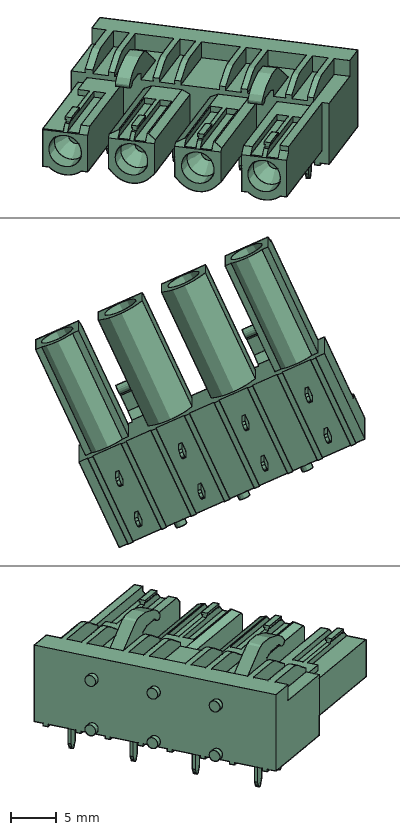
import cadquery as cq
import math


CONTACTS = 4
PITCH = 7.62
CONTACT_X = [(i - (CONTACTS - 1) / 2) * PITCH for i in range(CONTACTS)]
GAP_X = [(i - (CONTACTS - 2) / 2) * PITCH for i in range(CONTACTS - 1)]

WIDTH = 29.65
DEPTH = 10.68
HEIGHT = 9.22
DECK_Z = 7.33
BACK_WALL_Y = 7.65

RIB_INNER = 0.9
RIB_THICKNESS = 0.7
FIRST_RIB_THICKNESS = 0.9
RIB_BEND_START_Y = 3.4
RIB_BEND_END_Y = 1.95
RIB_BEND_END_Z = 8.9
RIB_FRONT_Z = 7.77

LATCH_WIDTH = 1.63
LATCH_TOP_Z = 10.23
LATCH_GRIP_Z = 8.45

STUD_RADIUS = 0.65
STUD_LENGTH = 0.65
STUD_ROWS_Z = [STUD_RADIUS, 6.6]
RAIL_WIDTH = 0.62
RAIL_HEIGHT = 0.3
RAIL_OFFSET = 2.02

BARREL_LENGTH = 13.2
BARREL_TOP_Z = 6.75
BORE_Z = 3.77
BARREL_RADIUS = 2.88
INNER_BARREL_WIDTH = 5.3
INNER_TOP_WIDTH = 3.47
INNER_SHOULDER_Z = 6.32
END_BARREL_WIDTH = 5.2
END_BARREL_BOTTOM_Z = 1.57
NOSE_CHAMFER = 0.77

BORE_RADIUS = 1.87
BORE_END_RADIUS = 0.9
BORE_STRAIGHT = 2.08
BORE_TAPER = 2.08

POCKET_FLOOR_Z = 6.08
POCKET_START = 3.35
POCKET_HALF_WIDTH = 1.57
KEY_RIB_WIDTH = 0.5
KEY_HEAD_WIDTH = 0.75
KEY_HEAD_Z = 7.0
KEY_HEAD_START = 9.15
KEY_HEAD_END = 12.05

PIN_THICKNESS = 0.4
PIN_WIDTH = 1.07
PIN_LENGTH = 3.5
PIN_TAPER_LENGTH = 0.77
PIN_TIP_WIDTH = 0.6
PIN_ROWS_Y = [3.23, 8.28]


def block(x0, x1, y0, y1, z0, z1):
    """Box between two opposite corners."""
    return cq.Workplane("XY").box(x1 - x0, y1 - y0, z1 - z0, centered=False).translate((x0, y0, z0))


def along_x(profile, x_start, thickness):
    """Extrude a YZ profile in +X from x_start."""
    return profile.extrude(thickness).translate((x_start, 0, 0))


def housing_block():
    half = WIDTH / 2
    base = block(-half, half, 0, DEPTH, 0, DECK_Z)
    back_wall = block(-half, half, BACK_WALL_Y, DEPTH, DECK_Z, HEIGHT)
    return base.union(back_wall)


def deck_rib(x_start, thickness):
    profile = (
        cq.Workplane("YZ")
        .moveTo(0, DECK_Z)
        .lineTo(BACK_WALL_Y, DECK_Z)
        .lineTo(BACK_WALL_Y, HEIGHT)
        .lineTo(RIB_BEND_START_Y, HEIGHT)
        .tangentArcPoint((RIB_BEND_END_Y, RIB_BEND_END_Z), relative=False)
        .lineTo(0, RIB_FRONT_Z)
        .close()
    )
    return along_x(profile, x_start, thickness)


def latch(x_center):
    """Curved finger that rises from the deck and hooks down in front of the housing."""
    profile = (
        cq.Workplane("YZ")
        .moveTo(0, DECK_Z)
        .lineTo(5.45, DECK_Z)
        .lineTo(1.95, 9.88)
        .threePointArc((1.5, 10.1), (1.05, LATCH_TOP_Z))
        .lineTo(-0.53, LATCH_TOP_Z)
        .lineTo(-2.3, 9.8)
        .threePointArc((-3.1, 9.45), (-3.77, 9.02))
        .lineTo(-4.18, 8.57)
        .threePointArc((-4.2, 8.2), (-3.85, 8.0))
        .threePointArc((-3.45, 8.07), (-3.17, 8.3))
        .lineTo(-2.97, LATCH_GRIP_Z)
        .lineTo(-1.05, LATCH_GRIP_Z)
        .lineTo(0, 8.07)
        .close()
    )
    return along_x(profile, x_center - LATCH_WIDTH / 2, LATCH_WIDTH)


def back_stud(x, z):
    return cq.Workplane("XZ", origin=(x, DEPTH, z)).circle(STUD_RADIUS).extrude(-STUD_LENGTH)


def bottom_rail(x):
    return block(x - RAIL_WIDTH / 2, x + RAIL_WIDTH / 2, 0, DEPTH, -RAIL_HEIGHT, 0)


def inner_barrel(x):
    """Barrel with sloped top shoulders and 45 degree flanks tangent to its round underside."""
    half = INNER_BARREL_WIDTH / 2
    tangent = BARREL_RADIUS * math.sqrt(0.5)
    flank_z = BORE_Z - (2 * tangent - half)
    return (
        cq.Workplane("XZ", origin=(x, 0, 0))
        .moveTo(-half, flank_z)
        .lineTo(-half, INNER_SHOULDER_Z)
        .lineTo(-INNER_TOP_WIDTH / 2, BARREL_TOP_Z)
        .lineTo(INNER_TOP_WIDTH / 2, BARREL_TOP_Z)
        .lineTo(half, INNER_SHOULDER_Z)
        .lineTo(half, flank_z)
        .lineTo(tangent, BORE_Z - tangent)
        .threePointArc((0, BORE_Z - BARREL_RADIUS), (-tangent, BORE_Z - tangent))
        .close()
        .extrude(BARREL_LENGTH)
    )


def end_barrel(x):
    """Square barrel with a round belly below its flat bottom."""
    half = END_BARREL_WIDTH / 2
    belly_half = math.sqrt(BARREL_RADIUS**2 - (BORE_Z - END_BARREL_BOTTOM_Z) ** 2)
    return (
        cq.Workplane("XZ", origin=(x, 0, 0))
        .moveTo(-half, END_BARREL_BOTTOM_Z)
        .lineTo(-half, BARREL_TOP_Z)
        .lineTo(half, BARREL_TOP_Z)
        .lineTo(half, END_BARREL_BOTTOM_Z)
        .lineTo(belly_half, END_BARREL_BOTTOM_Z)
        .threePointArc((0, BORE_Z - BARREL_RADIUS), (-belly_half, END_BARREL_BOTTOM_Z))
        .close()
        .extrude(BARREL_LENGTH)
    )


def first_barrel(x):
    """End barrel whose outer top strip is lowered to the pocket floor."""
    outer_x = x - END_BARREL_WIDTH / 2
    strip = block(outer_x, x - POCKET_HALF_WIDTH, -BARREL_LENGTH, 0, POCKET_FLOOR_Z, BARREL_TOP_Z)
    return end_barrel(x).cut(strip)


def last_barrel(x):
    """End barrel whose outer top strip is raised to the deck."""
    outer_x = x + END_BARREL_WIDTH / 2
    wall = block(x + POCKET_HALF_WIDTH, outer_x, -BARREL_LENGTH, 0, BARREL_TOP_Z, DECK_Z)
    return end_barrel(x).union(wall)


def top_pockets(x):
    """Two open-fronted pockets that leave the key rib standing between them."""
    left = x - POCKET_HALF_WIDTH
    right = x + POCKET_HALF_WIDTH
    pockets = block(left, right, -BARREL_LENGTH, -POCKET_START, POCKET_FLOOR_Z, BARREL_TOP_Z)
    half_rib = KEY_RIB_WIDTH / 2
    rib = block(x - half_rib, x + half_rib, -BARREL_LENGTH, 0, POCKET_FLOOR_Z, BARREL_TOP_Z)
    return pockets.cut(rib)


def key_head(x):
    """T-shaped head standing on the key rib."""
    half_neck = KEY_RIB_WIDTH / 2
    half_head = KEY_HEAD_WIDTH / 2
    neck = block(x - half_neck, x + half_neck, -KEY_HEAD_END, -KEY_HEAD_START, BARREL_TOP_Z, KEY_HEAD_Z)
    head = block(x - half_head, x + half_head, -KEY_HEAD_END, -KEY_HEAD_START, KEY_HEAD_Z, DECK_Z)
    return neck.union(head)


def nose_cutter():
    """45 degree nose chamfer over all barrels; it also ends the raised outer wall squarely."""
    chamfer_back_y = NOSE_CHAMFER - BARREL_LENGTH
    profile = (
        cq.Workplane("YZ")
        .moveTo(-BARREL_LENGTH, BARREL_TOP_Z - NOSE_CHAMFER)
        .lineTo(chamfer_back_y, BARREL_TOP_Z)
        .lineTo(chamfer_back_y, DECK_Z)
        .lineTo(-BARREL_LENGTH, DECK_Z)
        .close()
    )
    return along_x(profile, -WIDTH / 2, WIDTH)


def socket_bore(x):
    into_barrel = cq.Vector(0, 1, 0)
    mouth = cq.Vector(x, -BARREL_LENGTH, BORE_Z)
    taper_start = mouth + into_barrel * BORE_STRAIGHT
    straight = cq.Solid.makeCylinder(BORE_RADIUS, BORE_STRAIGHT, mouth, into_barrel)
    taper = cq.Solid.makeCone(BORE_RADIUS, BORE_END_RADIUS, BORE_TAPER, taper_start, into_barrel)
    return cq.Workplane(straight).union(cq.Workplane(taper))


def make_housing():
    body = housing_block()

    barrels = [first_barrel(CONTACT_X[0])]
    barrels += [inner_barrel(x) for x in CONTACT_X[1:-1]]
    barrels.append(last_barrel(CONTACT_X[-1]))
    for x, barrel in zip(CONTACT_X, barrels):
        body = body.union(barrel.cut(top_pockets(x)).union(key_head(x)))
    body = body.cut(nose_cutter())
    for x in CONTACT_X:
        body = body.cut(socket_bore(x))

    for x in CONTACT_X:
        left_thickness = FIRST_RIB_THICKNESS if x == CONTACT_X[0] else RIB_THICKNESS
        body = body.union(deck_rib(x - RIB_INNER - left_thickness, left_thickness))
        body = body.union(deck_rib(x + RIB_INNER, RIB_THICKNESS))
        body = body.union(bottom_rail(x - RAIL_OFFSET))
        body = body.union(bottom_rail(x + RAIL_OFFSET))

    for x in (GAP_X[0], GAP_X[-1]):
        body = body.union(latch(x))

    for x in GAP_X:
        for z in STUD_ROWS_Z:
            body = body.union(back_stud(x, z))
    return body


def make_pin(x, y):
    """Flat solder pin hanging from the housing underside, with a tapered, rounded tip."""
    half = PIN_WIDTH / 2
    half_tip = PIN_TIP_WIDTH / 2
    taper_z = PIN_TAPER_LENGTH - PIN_LENGTH
    round_z = half_tip - PIN_LENGTH
    profile = (
        cq.Workplane("YZ")
        .moveTo(y - half, 0)
        .lineTo(y + half, 0)
        .lineTo(y + half, taper_z)
        .lineTo(y + half_tip, round_z)
        .threePointArc((y, -PIN_LENGTH), (y - half_tip, round_z))
        .lineTo(y - half, taper_z)
        .close()
    )
    return along_x(profile, x - PIN_THICKNESS / 2, PIN_THICKNESS)


housing = make_housing()
pins = [make_pin(x, y) for x in CONTACT_X for y in PIN_ROWS_Y]

result = cq.Compound.makeCompound([housing.solids().val(), *[pin.val() for pin in pins]])